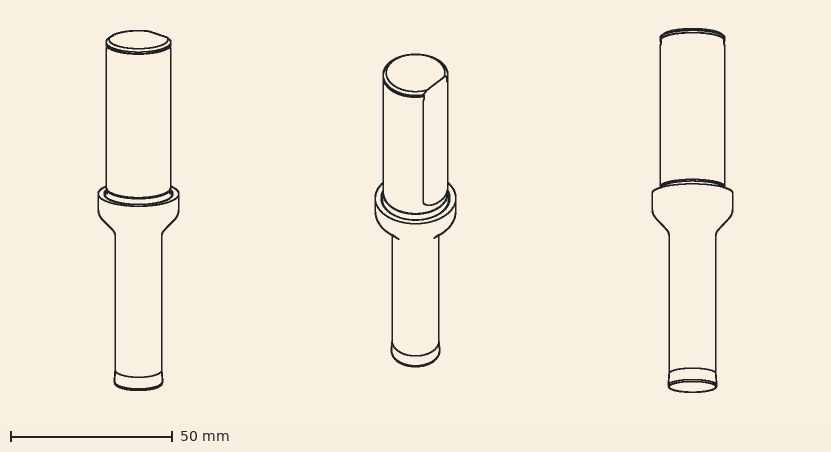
import cadquery as cq
import math

total_length = 112.0
top_chamfer_z = 111.2
ring_groove_top_z = 110.5
ring_groove_floor_z = 109.5
ring_groove_end_z = 108.5
undercut_start_z = 64.0
undercut_neck_z = 63.5
undercut_arc_z = 62.4
flange_top_z = 61.9
flange_rim_z = 56.9
flare_end_z = 48.3
head_joint_z = 4.7
head_edge_z = 1.0
head_corner_z = 0.5

shank_radius = 20.0 / 2
groove_radius = 19.5 / 2
top_face_radius = 9.1
flange_radius = 25.0 / 2
relief_radius = 10.6
stem_radius = 14.5 / 2
head_radius = 7.5
head_corner_radius = 7.3

relief_depth = 0.3
relief_floor_radius = 10.3
relief_arc_mid = (9.9, 61.8)

flare_angle = math.radians(42)
flare_sin = math.sin(flare_angle)
flare_cos = math.cos(flare_angle)
flare_height = flange_rim_z - flare_end_z
flare_width = flange_radius - stem_radius
flare_arc_radius = (flare_height * flare_sin - flare_width * flare_cos) / (2 * (1 - flare_cos))

dome_mid = (3.7, 0.1)

flat_offset = 8.1
flat_runout_top_z = 68.7
flat_runout_mid = (8.5, 67.1)
flat_end_z = 66.1


def flare_offset(angle):
    """Radial and axial distance covered by a flare arc after turning by an angle from the axis."""
    return flare_arc_radius * (1 - math.cos(angle)), flare_arc_radius * math.sin(angle)


def shoulder_point(angle):
    """Point on the convex arc below the flange rim."""
    inward, down = flare_offset(angle)
    return flange_radius - inward, flange_rim_z - down


def foot_point(angle):
    """Point on the concave arc above the stem."""
    outward, up = flare_offset(angle)
    return stem_radius + outward, flare_end_z + up


def make_holder_blank():
    """Shank, flange and stem as one turned body."""
    profile = (
        cq.Workplane("XZ")
        .moveTo(0, head_joint_z)
        .lineTo(stem_radius, head_joint_z)
        .lineTo(stem_radius, flare_end_z)
        .threePointArc(foot_point(flare_angle / 2), foot_point(flare_angle))
        .lineTo(*shoulder_point(flare_angle))
        .threePointArc(shoulder_point(flare_angle / 2), (flange_radius, flange_rim_z))
        .lineTo(flange_radius, flange_top_z)
        .lineTo(relief_radius, flange_top_z)
        .lineTo(relief_floor_radius, flange_top_z - relief_depth)
        .threePointArc(relief_arc_mid, (groove_radius, undercut_arc_z))
        .lineTo(groove_radius, undercut_neck_z)
        .lineTo(shank_radius, undercut_start_z)
        .lineTo(shank_radius, ring_groove_end_z)
        .lineTo(groove_radius, ring_groove_floor_z)
        .lineTo(groove_radius, ring_groove_top_z)
        .lineTo(shank_radius, ring_groove_top_z)
        .lineTo(shank_radius, top_chamfer_z)
        .lineTo(top_face_radius, total_length)
        .lineTo(0, total_length)
        .close()
    )
    return profile.revolve(360, (0, 0, 0), (0, 1, 0))


def make_flat_cutter():
    """Material removed to form the clamping flat and its run-out."""
    return (
        cq.Workplane("YZ")
        .moveTo(flat_offset, total_length)
        .lineTo(flat_offset, flat_runout_top_z)
        .threePointArc(flat_runout_mid, (shank_radius, flat_end_z))
        .lineTo(shank_radius, total_length)
        .close()
        .extrude(shank_radius, both=True)
    )


def make_cutting_head():
    """Slightly flared cutting head with a shallow domed end."""
    profile = (
        cq.Workplane("XZ")
        .threePointArc(dome_mid, (head_corner_radius, head_corner_z))
        .lineTo(head_radius, head_edge_z)
        .lineTo(stem_radius, head_joint_z)
        .lineTo(0, head_joint_z)
        .close()
    )
    return profile.revolve(360, (0, 0, 0), (0, 1, 0))


holder = make_holder_blank().cut(make_flat_cutter())
cutting_head = make_cutting_head()

result = cq.Compound.makeCompound([holder.val(), cutting_head.val()])